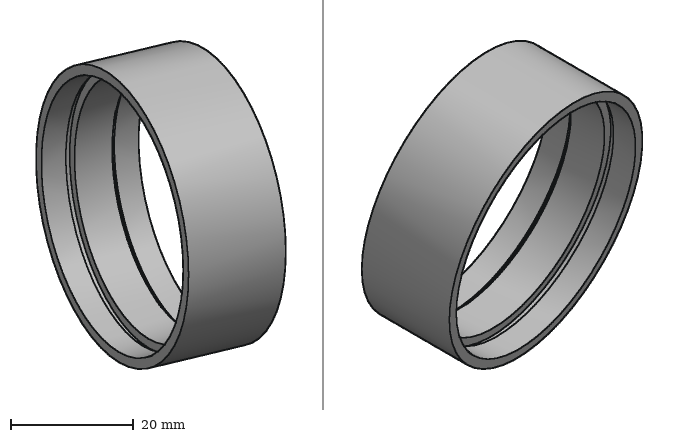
import cadquery as cq

outer_diameter = 50.8
ring_width = 18.2

bore_diameter = 45.0
recess_diameter = 47.15
recess_depth = 5.6
groove_diameter = 48.25
groove_width = 1.0


def cylinder_along_y(diameter, start_y, length):
    """Solid cylinder about the Y axis, running from start_y towards +Y."""
    plane = cq.Workplane("XZ", origin=(0, start_y, 0))
    return plane.circle(diameter / 2).extrude(-length)


def front_recess():
    """Space removed at the -Y end: the recess and the groove at its inner end."""
    groove_start_y = front_y + recess_depth - groove_width
    recess = cylinder_along_y(recess_diameter, front_y, recess_depth)
    groove = cylinder_along_y(groove_diameter, groove_start_y, groove_width)
    return recess.union(groove)


front_y = -ring_width / 2
ring = cylinder_along_y(outer_diameter, front_y, ring_width)
bore = cylinder_along_y(bore_diameter, front_y, ring_width)
recess_cut = front_recess()

result = ring.cut(bore).cut(recess_cut).cut(recess_cut.mirror("XZ"))